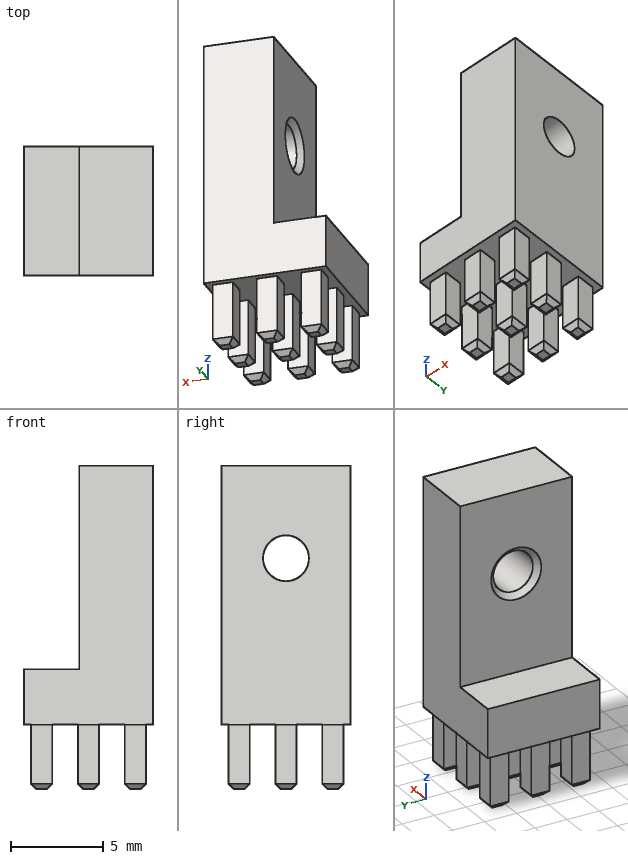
import cadquery as cq

width = 7.0
total_height = 17.5
pin_length = 3.5
body_height = total_height - pin_length

foot_height = 3.0
upright_thickness = 4.0
foot_depth = width - upright_thickness

pin_size = 1.15
pin_pitch = 2.54
pin_chamfer = 0.3
pins_per_side = 3

hole_diameter = 2.47
countersink_diameter = 3.13
countersink_depth = (countersink_diameter - hole_diameter) / 2
hole_below_top = 5.0


def make_body():
    """L-shaped block with its base at Z = 0 and its upright on the +X side."""
    block = cq.Workplane("XY").box(width, width, body_height, centered=(True, True, False))
    notch = (
        cq.Workplane("XY")
        .box(foot_depth, width, body_height - foot_height, centered=(False, True, False))
        .translate((-width / 2, 0, foot_height))
    )
    return block.cut(notch)


def make_hole():
    """Through-hole cutter along X, countersunk at the stepped face."""
    hole_face = cq.Workplane("YZ", origin=(foot_depth - width / 2, 0, body_height - hole_below_top))
    bore = hole_face.circle(hole_diameter / 2).extrude(upright_thickness)
    countersink = (
        hole_face.circle(countersink_diameter / 2)
        .workplane(offset=countersink_depth)
        .circle(hole_diameter / 2)
        .loft(ruled=True)
    )
    return bore.union(countersink)


def make_pins():
    """Square grid of square pins with chamfered tips, hanging below the base."""
    return (
        cq.Workplane("XY")
        .rarray(pin_pitch, pin_pitch, pins_per_side, pins_per_side)
        .rect(pin_size, pin_size)
        .extrude(-pin_length)
        .faces("<Z")
        .chamfer(pin_chamfer)
    )


result = make_body().cut(make_hole()).union(make_pins())